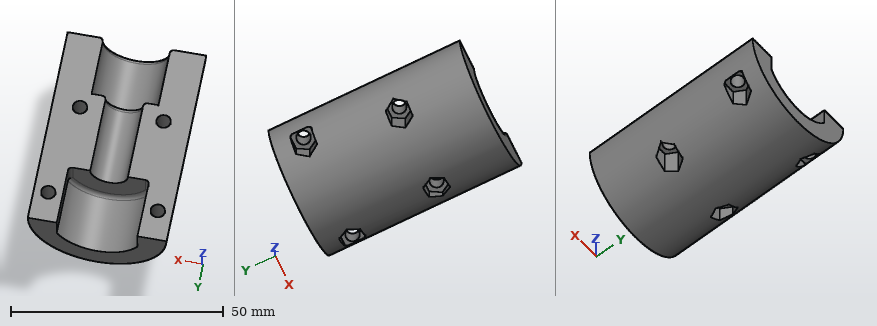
import cadquery as cq
import math

length = 50.0
outer_radius = 16.6
front_y = -length / 2
rear_y = length / 2

front_bore_radius = 8.0
neck_radius = 4.5
rear_pocket_half_width = 9.65
rear_bore_radius = 11.0
rear_wall_height = math.sqrt(rear_bore_radius**2 - rear_pocket_half_width**2)
end_bore_depth = 15.0
edge_round = 1.0

screw_hole_diameter = 3.4
nut_across_flats = 5.5
nut_across_corners = nut_across_flats / math.cos(math.pi / 6)
nut_seat_z = -6.95
rear_screw_x = 13.1
rear_screw_y = 17.5
front_screw_x = 10.0
front_screw_y = -6.0


def half_cylinder():
    return (
        cq.Workplane("XZ", origin=(0, rear_y, 0))
        .moveTo(-outer_radius, 0)
        .threePointArc((0, -outer_radius), (outer_radius, 0))
        .close()
        .extrude(length)
    )


def front_bore_and_neck():
    """Revolved cavity: rounded front mouth and neck entry."""
    neck_front_y = front_y + end_bore_depth
    neck_rear_y = rear_y - end_bore_depth
    arc_bulge = edge_round * math.sqrt(0.5)
    arc_rest = edge_round - arc_bulge
    return (
        cq.Workplane("XY")
        .moveTo(0, front_y)
        .lineTo(front_bore_radius + edge_round, front_y)
        .threePointArc(
            (front_bore_radius + arc_rest, front_y + arc_rest),
            (front_bore_radius, front_y + edge_round),
        )
        .lineTo(front_bore_radius, neck_front_y)
        .lineTo(neck_radius + edge_round, neck_front_y)
        .threePointArc(
            (neck_radius + arc_rest, neck_front_y + arc_rest),
            (neck_radius, neck_front_y + edge_round),
        )
        .lineTo(neck_radius, neck_rear_y)
        .lineTo(0, neck_rear_y)
        .close()
        .revolve(360, (0, 0, 0), (0, 1, 0))
    )


def rear_pocket():
    """Round-bottomed pocket with upright side walls and a rounded inner end."""
    return (
        cq.Workplane("XZ", origin=(0, rear_y, 0))
        .moveTo(-rear_pocket_half_width, rear_wall_height)
        .lineTo(-rear_pocket_half_width, -rear_wall_height)
        .threePointArc((0, -rear_bore_radius), (rear_pocket_half_width, -rear_wall_height))
        .lineTo(rear_pocket_half_width, rear_wall_height)
        .close()
        .extrude(end_bore_depth)
        .faces("<Y")
        .edges("not(>Z)")
        .fillet(edge_round)
    )


def screw_cutters():
    """Through holes and the nut pockets, each hexagon with corners facing +/-X."""
    centers = [
        (side * x, y)
        for x, y in ((rear_screw_x, rear_screw_y), (front_screw_x, front_screw_y))
        for side in (-1, 1)
    ]
    holes = (
        cq.Workplane("XY")
        .pushPoints(centers)
        .circle(screw_hole_diameter / 2)
        .extrude(-outer_radius)
    )
    pockets = (
        cq.Workplane("XY", origin=(0, 0, nut_seat_z))
        .pushPoints(centers)
        .polygon(6, nut_across_corners)
        .extrude(-outer_radius)
    )
    return holes.union(pockets)


result = half_cylinder().cut(front_bore_and_neck()).cut(rear_pocket()).cut(screw_cutters())